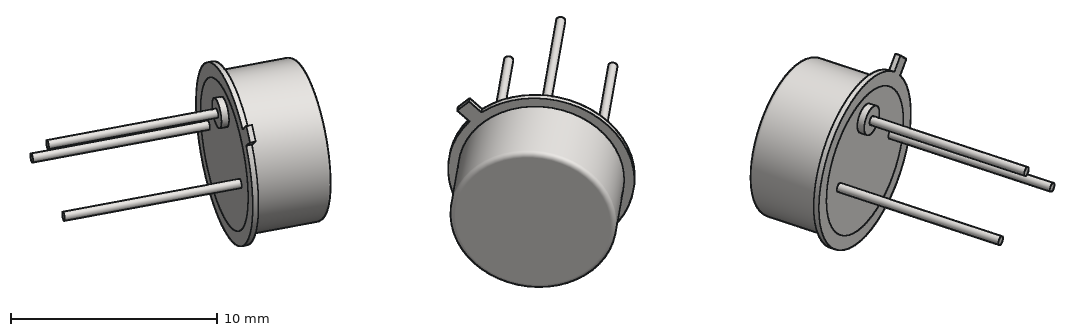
import cadquery as cq


overall_length = 13.2

flange_radius = 9.1 / 2
flange_thickness = 0.29
can_radius = 4.05
wall = 0.25
can_edge_radius = 0.25
lead_length = 9.0
can_height = overall_length - lead_length

tab_reach = 5.39
tab_width = 0.83
tab_angle = 45

header_radius = can_radius - wall
header_height = can_height - wall
lead_radius = 0.46 / 2
lead_circle_radius = 5.08 / 2
boss_radius = 0.75
boss_height = 0.38


def cylinder_y(radius, y_start, y_end, x=0, z=0):
    """Solid cylinder along Y, centred at (x, z)."""
    height = y_end - y_start
    base = cq.Vector(x, y_start, z)
    return cq.Workplane(cq.Solid.makeCylinder(radius, height, base, cq.Vector(0, 1, 0)))


def make_tab():
    """Radial bar from the header's edge to the tab's outer edge."""
    tab_length = tab_reach - header_radius
    tab_middle = header_radius + tab_length / 2
    tab = cq.Workplane().box(tab_length, flange_thickness, tab_width)
    tab = tab.translate((tab_middle, flange_thickness / 2, 0))
    return tab.rotate((0, 0, 0), (0, 1, 0), -tab_angle)


def make_can():
    """Flanged can with a rounded roof edge and a recess for the header."""
    shell = cylinder_y(can_radius, 0, can_height).faces(">Y").edges().fillet(can_edge_radius)
    flange = cylinder_y(flange_radius, 0, flange_thickness)
    recess = cylinder_y(header_radius, 0, header_height)
    return shell.union(flange).union(make_tab()).cut(recess)


def make_header():
    """Header filling the can, with one lead in a boss and a lead on each side."""
    header = cylinder_y(header_radius, 0, header_height)
    header = header.union(cylinder_y(boss_radius, -boss_height, 0, z=lead_circle_radius))

    lead_centers = [
        (0, lead_circle_radius),
        (lead_circle_radius, 0),
        (-lead_circle_radius, 0),
    ]
    for x, z in lead_centers:
        header = header.union(cylinder_y(lead_radius, -lead_length, 0, x, z))
    return header


can = make_can()
header = make_header()

result = cq.Compound.makeCompound([can.val(), header.val()])